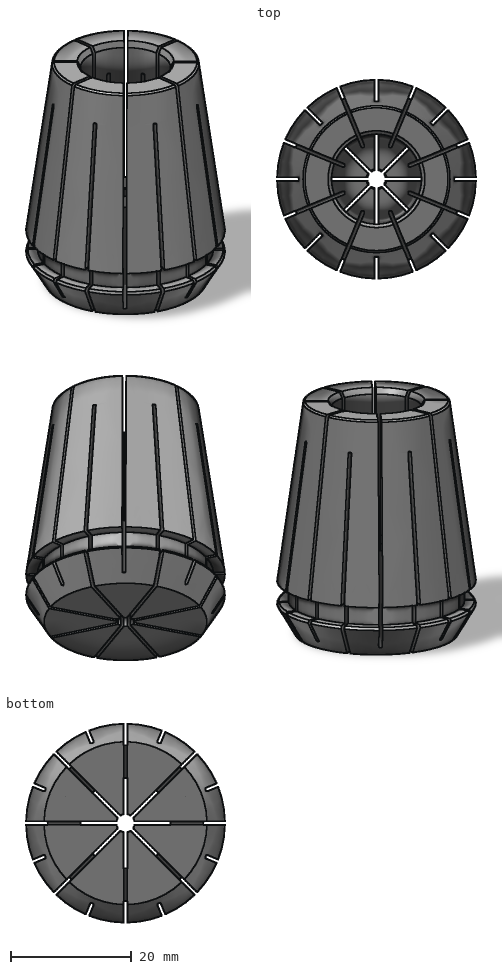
import cadquery as cq
import math

height = 40.0
max_radius = 16.5

nose_radius = 13.5
nose_cone_top = 5.05
lip_top = 5.5
lip_chamfer = 0.3
groove_radius = 14.6
groove_top = 9.0

taper_angle = math.radians(8)
taper_top_radius = max_radius - (height - groove_top) * math.tan(taper_angle)
top_edge_chamfer = 0.3

clamp_radius = 1.5
clamp_chamfer = 0.2
relief_radius = 7.45
relief_floor = 16.0
relief_floor_fillet = 0.85
mouth_depth = 1.0
mouth_half_angle = math.radians(30)
mouth_radius = relief_radius + mouth_depth * math.tan(mouth_half_angle)

slits_per_set = 8
slit_pitch = 360.0 / slits_per_set
slit_width = 0.6
nose_slit_top = 34.5
rear_slit_bottom = 1.5
rear_slit_inner_radius = 5.7
overshoot = 1.0
slit_reach = max_radius + overshoot


def body():
    """Turned outer form: nose cone, groove and long taper."""
    profile = [
        (0, 0),
        (nose_radius, 0),
        (max_radius, nose_cone_top),
        (max_radius - lip_chamfer, lip_top),
        (groove_radius, lip_top),
        (groove_radius, groove_top),
        (max_radius, groove_top),
        (taper_top_radius, height),
        (0, height),
    ]
    solid = cq.Workplane("XZ").polyline(profile).close().revolve(360, (0, 0), (0, 1))
    return solid.faces(">Z").edges().chamfer(top_edge_chamfer)


def bores():
    """Small chamfered clamping bore, wide relief bore with a rounded floor, and conical mouth."""
    clamp = cq.Workplane("XY").circle(clamp_radius).extrude(height)
    relief = (
        cq.Workplane("XY", origin=(0, 0, relief_floor))
        .circle(relief_radius)
        .extrude(height - relief_floor)
        .faces("<Z")
        .edges()
        .fillet(relief_floor_fillet)
    )
    mouth = cq.Solid.makeCone(
        relief_radius, mouth_radius, mouth_depth, pnt=cq.Vector(0, 0, height - mouth_depth)
    )
    clamp_entry = cq.Solid.makeCone(
        clamp_radius,
        clamp_radius + clamp_chamfer,
        clamp_chamfer,
        pnt=cq.Vector(0, 0, relief_floor - clamp_chamfer),
    )
    return clamp.union(relief).union(cq.Workplane(mouth)).union(cq.Workplane(clamp_entry))


def nose_slit():
    """Radial slit open at the nose, with a full-round upper end."""
    half_width = slit_width / 2
    straight_top = nose_slit_top - half_width
    outline = (
        cq.Workplane("YZ")
        .moveTo(-half_width, -overshoot)
        .lineTo(-half_width, straight_top)
        .threePointArc((0, nose_slit_top), (half_width, straight_top))
        .lineTo(half_width, -overshoot)
        .close()
    )
    return outline.extrude(slit_reach)


def rear_slit():
    """Radial slit open at the large end, with a full-round floor and a full-round inner end."""
    half_width = slit_width / 2
    floor_center = rear_slit_bottom + half_width
    end_center = rear_slit_inner_radius + half_width
    slit_top = height + overshoot
    straight = (
        cq.Workplane("YZ", origin=(end_center, 0, 0))
        .moveTo(-half_width, slit_top)
        .lineTo(-half_width, floor_center)
        .threePointArc((0, rear_slit_bottom), (half_width, floor_center))
        .lineTo(half_width, slit_top)
        .close()
        .extrude(slit_reach - end_center)
    )
    rounded_end = (
        cq.Workplane("XY", origin=(end_center, 0, floor_center))
        .circle(half_width)
        .extrude(slit_top - floor_center)
    )
    floor_end = cq.Workplane("XY", origin=(end_center, 0, floor_center)).sphere(half_width)
    return straight.union(rounded_end).union(floor_end)


result = body().cut(bores())
for index in range(slits_per_set):
    nose_angle = index * slit_pitch
    rear_angle = nose_angle + slit_pitch / 2
    result = result.cut(nose_slit().rotate((0, 0, 0), (0, 0, 1), nose_angle))
    result = result.cut(rear_slit().rotate((0, 0, 0), (0, 0, 1), rear_angle))